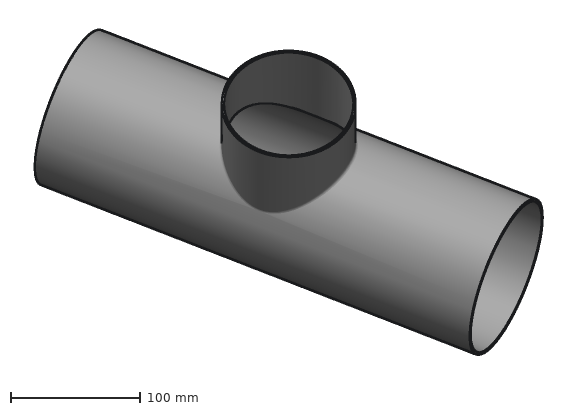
import cadquery as cq

run_length = 375.0
run_outer_diameter = 129.0
run_inner_diameter = 125.0

branch_outer_diameter = 104.0
branch_inner_diameter = 100.0
joint_fillet_radius = 2.2
total_height = 177.5
branch_top = total_height - run_outer_diameter / 2


def run_cylinder(diameter):
    """Cylinder along X, centred on the origin."""
    return cq.Workplane("YZ").circle(diameter / 2).extrude(run_length / 2, both=True)


def branch_cylinder(diameter):
    """Cylinder rising from the main pipe axis to the branch mouth."""
    return cq.Workplane("XY").circle(diameter / 2).extrude(branch_top)


outside = run_cylinder(run_outer_diameter).union(branch_cylinder(branch_outer_diameter))

saddle_reach = 0.6 * branch_outer_diameter
saddle_zone = cq.selectors.BoxSelector(
    (-saddle_reach, -saddle_reach, 0),
    (saddle_reach, saddle_reach, (run_outer_diameter + joint_fillet_radius) / 2),
    boundingbox=True,
)
outside = outside.edges(saddle_zone).fillet(joint_fillet_radius)

result = outside.cut(run_cylinder(run_inner_diameter)).cut(branch_cylinder(branch_inner_diameter))